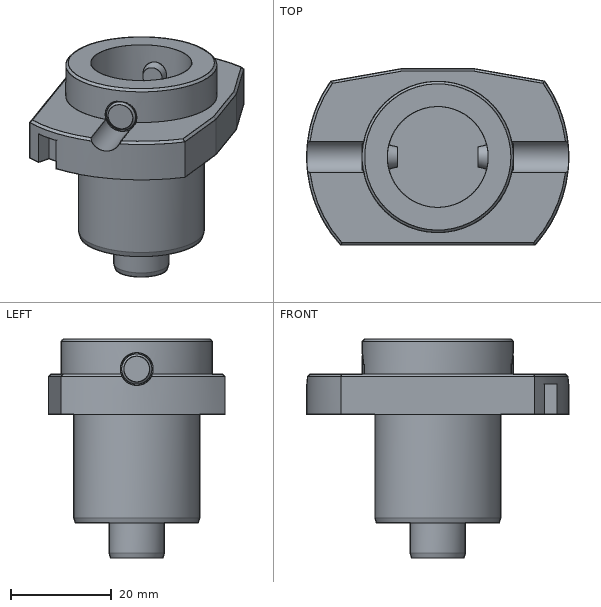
import cadquery as cq
import math

PLATE_RADIUS = 26.0
PLATE_THICKNESS = 8.0
PLATE_HALF_DEPTH = 17.5
PLATE_CHAMFER = 0.5
BACK_FLAT_HALF_WIDTH = 7.3
BACK_TAPER_ANGLE = 10.0

COLLAR_DIAMETER = 30.0
COLLAR_HEIGHT = 7.0
COLLAR_CHAMFER = 0.5
BORE_DIAMETER = 20.0
BORE_DEPTH = 11.5

SHANK_DIAMETER = 25.0
SHANK_LENGTH = 21.5
STUB_DIAMETER = 11.0
STUB_LENGTH = 7.0
LEAD_IN_HEIGHT = 1.0
LEAD_IN_WIDTH = 0.3

PIN_DIAMETER = 6.0
PIN_CHAMFER = 0.45
PIN_HEIGHT_ABOVE_PLATE = 1.0
PIN_PROTRUSION = 2.0
NOSE_TIP_DIAMETER = 4.0
NOSE_BASE_DIAMETER = 5.0
GROOVE_DIAMETER = 6.5

NOTCH_ANGLE = -30.0
NOTCH_WIDTH = 5.0
NOTCH_HEIGHT = 6.0
NOTCH_DEPTH = 3.0

COLLAR_RADIUS = COLLAR_DIAMETER / 2
BORE_RADIUS = BORE_DIAMETER / 2
COLLAR_TOP = PLATE_THICKNESS + COLLAR_HEIGHT
SHANK_END = -SHANK_LENGTH
STUB_END = SHANK_END - STUB_LENGTH
PIN_Z = PLATE_THICKNESS + PIN_HEIGHT_ABOVE_PLATE
PIN_TIP_X = BORE_RADIUS - PIN_PROTRUSION
GROOVE_END_X = COLLAR_RADIUS - PIN_CHAMFER


def back_corner():
    """Point where the tapered back edge meets the plate's round side."""
    slope = math.tan(math.radians(BACK_TAPER_ANGLE))
    rise = PLATE_HALF_DEPTH + slope * BACK_FLAT_HALF_WIDTH
    a = 1 + slope**2
    x = (rise * slope + math.sqrt(a * PLATE_RADIUS**2 - rise**2)) / a
    return x, rise - slope * x


def make_plate():
    """Round-sided plate with a straight front edge and a back edge tapered at both ends."""
    back_x, back_y = back_corner()
    front_x = math.sqrt(PLATE_RADIUS**2 - PLATE_HALF_DEPTH**2)
    return (
        cq.Workplane("XY")
        .moveTo(-front_x, -PLATE_HALF_DEPTH)
        .lineTo(front_x, -PLATE_HALF_DEPTH)
        .threePointArc((PLATE_RADIUS, 0), (back_x, back_y))
        .lineTo(BACK_FLAT_HALF_WIDTH, PLATE_HALF_DEPTH)
        .lineTo(-BACK_FLAT_HALF_WIDTH, PLATE_HALF_DEPTH)
        .lineTo(-back_x, back_y)
        .threePointArc((-PLATE_RADIUS, 0), (-front_x, -PLATE_HALF_DEPTH))
        .close()
        .extrude(PLATE_THICKNESS)
        .faces(">Z")
        .edges()
        .chamfer(PLATE_CHAMFER)
    )


def make_turned_body():
    """Collar, shank and stub revolved about Z from one half profile."""
    shank_radius = SHANK_DIAMETER / 2
    stub_radius = STUB_DIAMETER / 2
    profile = [
        (0, STUB_END),
        (stub_radius - LEAD_IN_WIDTH, STUB_END),
        (stub_radius, STUB_END + LEAD_IN_HEIGHT),
        (stub_radius, SHANK_END),
        (shank_radius - LEAD_IN_WIDTH, SHANK_END),
        (shank_radius, SHANK_END + LEAD_IN_HEIGHT),
        (shank_radius, 0),
        (COLLAR_RADIUS, 0),
        (COLLAR_RADIUS, COLLAR_TOP - COLLAR_CHAMFER),
        (COLLAR_RADIUS - COLLAR_CHAMFER, COLLAR_TOP),
        (0, COLLAR_TOP),
    ]
    return cq.Workplane("XZ").polyline(profile).close().revolve(360, (0, 0, 0), (0, 1, 0))


def make_bore():
    """Blind bore cut down from the top of the collar."""
    return cq.Workplane("XY").workplane(offset=COLLAR_TOP).circle(BORE_RADIUS).extrude(-BORE_DEPTH)


def make_groove(side):
    """Round groove along X from the plate rim to just inside the collar; side is +1 or -1."""
    length = PLATE_RADIUS - GROOVE_END_X
    return (
        cq.Workplane("YZ", origin=(side * GROOVE_END_X, 0, PIN_Z))
        .circle(GROOVE_DIAMETER / 2)
        .extrude(side * length)
    )


def make_pin(side):
    """Pin along X with a chamfered outer end and a tapered nose in the bore; side is +1 or -1."""
    pin_radius = PIN_DIAMETER / 2
    profile = [
        (side * PIN_TIP_X, 0),
        (side * PIN_TIP_X, NOSE_TIP_DIAMETER / 2),
        (side * BORE_RADIUS, NOSE_BASE_DIAMETER / 2),
        (side * BORE_RADIUS, pin_radius),
        (side * GROOVE_END_X, pin_radius),
        (side * COLLAR_RADIUS, pin_radius - PIN_CHAMFER),
        (side * COLLAR_RADIUS, 0),
    ]
    return (
        cq.Workplane("XZ", origin=(0, 0, PIN_Z))
        .polyline(profile)
        .close()
        .revolve(360, (0, 0, 0), (1, 0, 0))
    )


def make_notch():
    """Straight-walled notch reaching inward from the rim along NOTCH_ANGLE."""
    cutter_length = 2 * NOTCH_DEPTH
    return (
        cq.Workplane("XY")
        .box(cutter_length, NOTCH_WIDTH, NOTCH_HEIGHT, centered=(True, True, False))
        .translate((PLATE_RADIUS, 0, 0))
        .rotate((0, 0, 0), (0, 0, 1), NOTCH_ANGLE)
    )


result = make_plate().union(make_turned_body()).cut(make_bore()).cut(make_notch())
for side in (-1, 1):
    result = result.cut(make_groove(side)).union(make_pin(side))